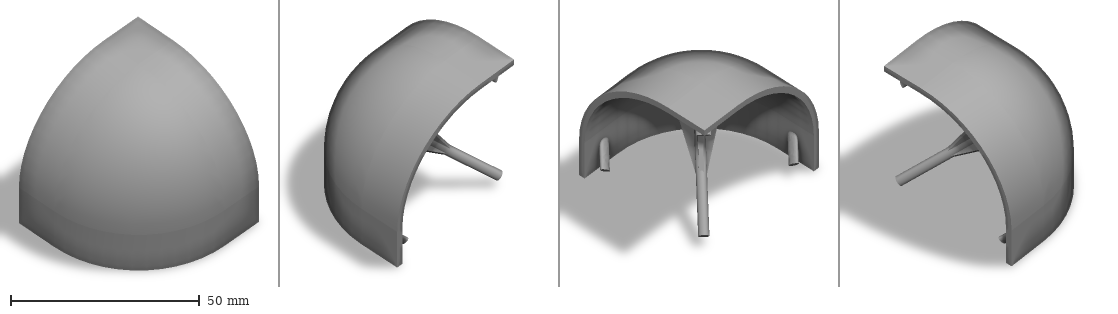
import cadquery as cq
import math

SIZE = 45.0
WALL = 2.0
OUTER_RADIUS = 32.0
STEM_DIAMETER = 3.0
STEM_LENGTH = 49.75
GUSSET_THICKNESS = 1.4
GUSSET_TOP = 9.75
GUSSET_APEX = -5.5
PEG_WIDTH = 4.0
PEG_DEPTH = 2.0
PEG_OFFSET = 28.9
PEG_START = 3.7

FLAT = SIZE - OUTER_RADIUS
INNER_RADIUS = OUTER_RADIUS - WALL
STEM_RADIUS = STEM_DIAMETER / 2
SPHERE_CENTER = cq.Vector(FLAT, -FLAT, FLAT)
DIAGONAL = cq.Vector(1, -1, 1).normalized()

WALL_LEANS = (
    cq.Vector(-1, 1, 2),
    cq.Vector(2, 1, -1),
    cq.Vector(-1, -2, -1),
)


def rounded_corner(size, radius):
    """Solid block from the open corner, with the opposite corner and its three edges rounded."""
    block = cq.Workplane("XY").box(size, size, size, centered=False).translate((0, -size, 0))
    margin = size / 4
    low = (margin, -size - margin, margin)
    high = (size + margin, -margin, size + margin)
    closed_edges = block.edges(cq.selectors.BoxSelector(low, high))
    return closed_edges.fillet(radius)


def cross_plane(distance, lean):
    """Plane square to the diagonal, at a distance from the sphere centre; local X follows the lean."""
    return cq.Plane(SPHERE_CENTER + DIAGONAL * distance, xDir=lean, normal=DIAGONAL)


def make_stem():
    """Round stem along the diagonal."""
    base = cross_plane(OUTER_RADIUS - STEM_LENGTH, WALL_LEANS[0])
    return cq.Workplane(base).circle(STEM_RADIUS).extrude(STEM_LENGTH)


def make_gusset(lean):
    """Tapered plate that widens from the stem to the shell; local X is the lean, local Y the diagonal."""
    plane = cq.Plane(SPHERE_CENTER, xDir=lean, normal=lean.cross(DIAGONAL))
    top = math.sqrt(INNER_RADIUS**2 - GUSSET_TOP**2)
    outline = (
        cq.Workplane(plane)
        .moveTo(0, GUSSET_APEX)
        .lineTo(GUSSET_TOP, top)
        .lineTo(GUSSET_TOP, top + WALL / 2)
        .lineTo(0, INNER_RADIUS + WALL / 2)
        .close()
    )
    return outline.extrude(GUSSET_THICKNESS / 2, both=True)


def make_peg(lean):
    """Elliptical peg parallel to the stem, long enough to run through the wall it leans toward."""
    base = cross_plane(PEG_START, lean)
    peg = cq.Workplane(base).center(PEG_OFFSET, 0).ellipse(PEG_DEPTH / 2, PEG_WIDTH / 2)
    return peg.extrude(OUTER_RADIUS)


envelope = rounded_corner(SIZE, OUTER_RADIUS)
shell = envelope.cut(rounded_corner(SIZE - WALL, INNER_RADIUS))

fittings = make_stem()
for wall_lean in WALL_LEANS:
    fittings = fittings.union(make_gusset(wall_lean))
for wall_lean in WALL_LEANS:
    fittings = fittings.union(make_peg(wall_lean))

result = shell.union(fittings.intersect(envelope))